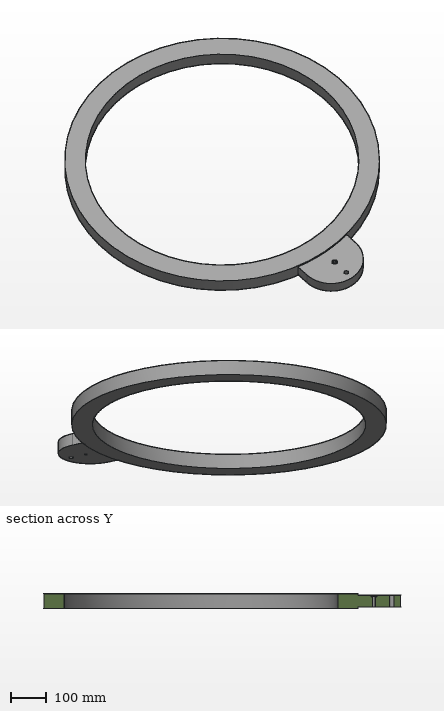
import cadquery as cq

overall_length = 994.0

ring_outer_diameter = 876.0
ring_inner_diameter = 761.0
ring_height = 42.0

tab_thickness = 34.0
tab_end_radius = 89.0
tab_tip_x = overall_length - ring_outer_diameter / 2
tab_end_center_x = tab_tip_x - tab_end_radius

tab_root_x = (ring_outer_diameter + ring_inner_diameter) / 4

tip_hole_diameter = 12.0
tip_hole_inset = 25.0
tip_hole_x = tab_tip_x - tip_hole_inset

stepped_hole_spacing = 50.0
stepped_hole_x = tip_hole_x - stepped_hole_spacing
stepped_hole_diameter = 7.0
counterbore_diameter = 15.0
counterbore_depth = 4.0


def make_ring():
    return (
        cq.Workplane("XY")
        .circle(ring_outer_diameter / 2)
        .circle(ring_inner_diameter / 2)
        .extrude(ring_height / 2, both=True)
    )


def make_tab_blank():
    return (
        cq.Workplane("XY")
        .moveTo(tab_root_x, -tab_end_radius)
        .lineTo(tab_end_center_x, -tab_end_radius)
        .threePointArc((tab_tip_x, 0), (tab_end_center_x, tab_end_radius))
        .lineTo(tab_root_x, tab_end_radius)
        .close()
        .extrude(tab_thickness / 2, both=True)
    )


def top_point(tab, x):
    """Workplane on the top face of the tab, on its centreline at the given x."""
    return tab.faces(">Z").workplane(origin=(x, 0, 0))


tab = make_tab_blank()
tab = top_point(tab, tip_hole_x).hole(tip_hole_diameter)
tab = top_point(tab, stepped_hole_x).cboreHole(
    stepped_hole_diameter, counterbore_diameter, counterbore_depth
)

result = make_ring().union(tab)